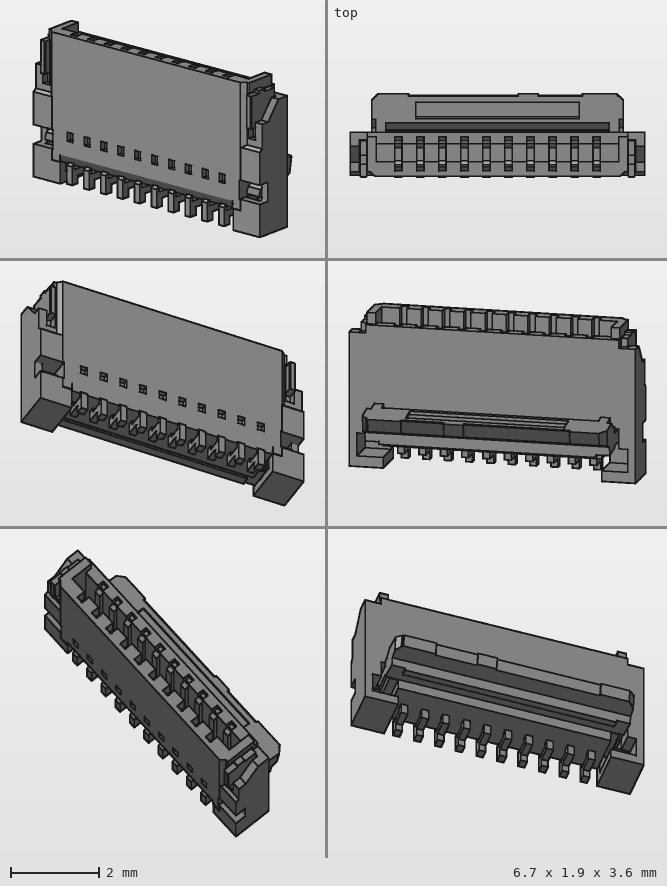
import cadquery as cq
import math


LENGTH = 6.7
HEIGHT = 3.6
DEPTH = 1.0
HALF_LENGTH = LENGTH / 2
PANEL_HALF = 2.79
PANEL_BOTTOM = 0.527
BODY_HALF = 2.963
FOOT_INNER = 2.556
BOTTOM_CHAMFER_HEIGHT = 0.18
BOTTOM_CHAMFER_DEPTH = 0.05
BACK_WALL_TOP = 3.337
END_WALL_BACK = 0.9
SHOULDER_Y = 0.108
WING_FRONT = 0.02

WING_TOP = 3.145
WING_TOP_FRONT = 0.684
WING_STEP_BACK = 0.314
WING_STEP_TOP = 2.69
SHOULDER_TOP = 2.1
SHOULDER_BOTTOM = 2.036

SLOT_HALF = 2.757
SLOT_FRONT = 0.33
SLOT_BACK = 0.733
SLOT_FLOOR = 1.3

CONTACT_COUNT = 10
PITCH = 0.5
CONTACT_WIDTH = 0.16
CHANNEL_WIDTH = 0.17
CHANNEL_FRONT = 0.125
CHANNEL_BACK = 0.895
CHANNEL_FLOOR = 1.0
WINDOW_BOTTOM = 1.08
WINDOW_TOP = 1.29
BEAM_TOP = 3.2
BEAM_BEVEL = 0.09
BEAM_SLOPE_DROP = 0.045
BACK_TIP_Y = 0.755
FRONT_BEAM_BACK = 0.35
BACK_BEAM_FRONT = 0.65
CONTACT_BASE_TOP = 1.1
TAIL_FRONT = -0.02
TAIL_BACK = 0.18
TAIL_TOP = 0.565
TAIL_BOTTOM = 0.055
TAIL_BEVEL = 0.06
TAIL_CREST_BACK = 0.07
NECK_BOTTOM = 0.25
NECK_TOP = 0.42
NECK_RISE_FRONT = 0.4
NECK_RISE_BACK = 0.55

POCKET_OUTER = 3.145
POCKET_INNER = 2.935
POCKET_BACK = 0.833
POCKET_FLOOR = 2.265
CLIP_OUTER = 3.12
CLIP_INNER = 2.97
CLIP_FRONT = -0.02
CLIP_BACK = 0.81
CLIP_TOP = BACK_WALL_TOP
CLIP_NOSE_BOTTOM = 2.55
CLIP_NOSE_SETBACK = 0.25
CLIP_NOSE_BEVEL = 0.025
CLIP_BUMP_FRONT = 0.27
CLIP_BUMP_BACK = 0.48
CLIP_BUMP_TOP = 3.4

NOTCH_BOTTOM = 0.79
NOTCH_TOP = 1.25
NOTCH_OUTER_BACK = 0.3
NOTCH_CORNER = 0.03
HINGE_OUTER = 3.17
HINGE_BACK = 0.56
HINGE_OPENING_OUTER = 2.955
FOOT_HOLLOW_FRONT = 0.22
FOOT_HOLLOW_BOTTOM = 0.25

LEVER_HALF = 2.862
LEVER_FRONT = DEPTH
LEVER_FRONT_TOP = 1.505
LEVER_FRONT_BOTTOM = 0.81
LEVER_TILT = math.tan(math.radians(9.5))
LEVER_BACK = 1.82
LEVER_CORNER = 0.155
LIP_FRONT = 1.28
LIP_BACK = 1.46
LIP_DROP = 0.06
LEVER_EDGE_HEIGHT = 0.32
LEVER_EDGE_BEVEL = 0.02
UNDERSIDE_BACK = (1.664, 1.01)
UNDERSIDE_STEP = (1.49, 0.943)
PAD_DEPTH = 0.06
PAD_BEVEL_DROP = 0.02
PAD_SPANS = [(-2.76, -2.02), (0.47, 0.93), (1.93, 2.73)]
GROOVE_HALF = 2.54
GROOVE_BACK = 1.215
GROOVE_BEND_Y = 1.06
GROOVE_BEND_DROP = 0.09
GROOVE_FLOOR_BACK = 1.03
GROOVE_FLOOR_Z = 1.3
RECESS_HALF = 1.855
RECESS_FRONT = 1.307
RECESS_FLOOR_FRONT = 1.35
RECESS_BACK = 1.685
RECESS_DEPTH = 0.06
SIDE_CUT_WIDTH = 0.1
SIDE_CUT_BACK = 1.3
SIDE_CUT_FLOOR_BACK = 1.1
SIDE_CUT_FLOOR_Z = 1.305
ARM_INNER = 2.8
ARM_BOTTOM = 0.86
ARM_TOP = 1.15
AXLE_BOTTOM = 0.85
AXLE_TOP = 1.14
AXLE_BACK = 0.52
AXLE_TOP_FRONT = 0.4
AXLE_FACET_Y = 0.27
AXLE_FACET_Z = 1.04
AXLE_NOSE_Y = 0.224
AXLE_NOSE_Z = 0.947
AXLE_UNDERSIDE_FRONT = 0.31

SIDES = (-1, 1)
CONTACT_XS = [(i - (CONTACT_COUNT - 1) / 2) * PITCH for i in range(CONTACT_COUNT)]


def box(x0, x1, y0, y1, z0, z1):
    """Box between two corners; the X limits may come in either order."""
    left, right = sorted((x0, x1))
    return cq.Workplane("XY").box(right - left, y1 - y0, z1 - z0, centered=False).translate((left, y0, z0))


def plate(x0, x1, outline):
    """Closed YZ outline extruded from x0 to x1, in either order."""
    left, right = sorted((x0, x1))
    return cq.Workplane("YZ").polyline(outline).close().extrude(right - left).translate((left, 0, 0))


def wing(side):
    outline = [
        (DEPTH, 0),
        (DEPTH, WING_TOP),
        (WING_TOP_FRONT, WING_TOP),
        (WING_STEP_BACK, WING_STEP_TOP),
        (SHOULDER_Y, WING_STEP_TOP),
        (SHOULDER_Y, SHOULDER_TOP),
        (WING_FRONT, SHOULDER_BOTTOM),
        (WING_FRONT, 0),
    ]
    return plate(side * HALF_LENGTH, side * FOOT_INNER, outline)


def middle_body():
    back_wall = box(-BODY_HALF, BODY_HALF, SHOULDER_Y, DEPTH, PANEL_BOTTOM, BACK_WALL_TOP)
    upper = box(-BODY_HALF, BODY_HALF, SHOULDER_Y, END_WALL_BACK, PANEL_BOTTOM, HEIGHT)
    lowered_back = box(-SLOT_HALF, SLOT_HALF, SLOT_BACK, DEPTH, BACK_WALL_TOP, HEIGHT)
    panel_root = PANEL_HALF + SHOULDER_Y
    panel = (
        cq.Workplane("XY")
        .polyline([(-panel_root, SHOULDER_Y), (-PANEL_HALF, 0), (PANEL_HALF, 0), (panel_root, SHOULDER_Y)])
        .close()
        .extrude(HEIGHT - SHOULDER_BOTTOM)
        .translate((0, 0, SHOULDER_BOTTOM))
    )
    panel = panel.union(box(-PANEL_HALF, PANEL_HALF, 0, SHOULDER_Y, PANEL_BOTTOM, SHOULDER_BOTTOM))
    bottom_chamfer = plate(-FOOT_INNER, FOOT_INNER, [
        (0, PANEL_BOTTOM),
        (0, PANEL_BOTTOM + BOTTOM_CHAMFER_HEIGHT),
        (BOTTOM_CHAMFER_DEPTH, PANEL_BOTTOM),
    ])
    return back_wall.union(upper).cut(lowered_back).union(panel).cut(bottom_chamfer)


def contact_channel(x):
    half = CHANNEL_WIDTH / 2
    channel = box(x - half, x + half, CHANNEL_FRONT, CHANNEL_BACK, CHANNEL_FLOOR, HEIGHT)
    window = box(x - half, x + half, 0, CHANNEL_FRONT, WINDOW_BOTTOM, WINDOW_TOP)
    return channel.union(window)


def contact(x):
    """Forked contact: two beams on a base, with a neck down to the solder tail in front."""
    beam_shoulder = BEAM_TOP - BEAM_BEVEL
    outline = [
        (TAIL_FRONT, TAIL_BOTTOM),
        (TAIL_FRONT, TAIL_TOP - TAIL_BEVEL),
        (TAIL_FRONT + TAIL_BEVEL, TAIL_TOP),
        (TAIL_CREST_BACK, TAIL_TOP),
        (TAIL_CREST_BACK, NECK_TOP),
        (NECK_RISE_FRONT, NECK_TOP),
        (NECK_RISE_FRONT, CHANNEL_FLOOR),
        (CHANNEL_FRONT, CHANNEL_FLOOR),
        (CHANNEL_FRONT, BEAM_TOP - BEAM_SLOPE_DROP),
        (CHANNEL_FRONT + BEAM_BEVEL, BEAM_TOP),
        (FRONT_BEAM_BACK - BEAM_BEVEL, BEAM_TOP),
        (FRONT_BEAM_BACK, beam_shoulder),
        (FRONT_BEAM_BACK, CONTACT_BASE_TOP),
        (BACK_BEAM_FRONT, CONTACT_BASE_TOP),
        (BACK_BEAM_FRONT, beam_shoulder),
        (BACK_TIP_Y, BEAM_TOP),
        (CHANNEL_BACK - BEAM_BEVEL, BEAM_TOP - BEAM_SLOPE_DROP),
        (CHANNEL_BACK, BEAM_TOP),
        (CHANNEL_BACK, CHANNEL_FLOOR),
        (NECK_RISE_BACK, CHANNEL_FLOOR),
        (NECK_RISE_BACK, NECK_BOTTOM),
        (TAIL_BACK, NECK_BOTTOM),
        (TAIL_BACK, TAIL_BOTTOM),
    ]
    return plate(x - CONTACT_WIDTH / 2, x + CONTACT_WIDTH / 2, outline)


def clip_pocket(side):
    return box(side * POCKET_OUTER, side * POCKET_INNER, 0, POCKET_BACK, POCKET_FLOOR, CLIP_TOP)


def clip(side):
    outline = [
        (CLIP_BACK, POCKET_FLOOR),
        (CLIP_BACK, CLIP_TOP),
        (CLIP_BUMP_BACK, CLIP_TOP),
        (CLIP_BUMP_BACK, CLIP_BUMP_TOP),
        (CLIP_BUMP_FRONT, CLIP_BUMP_TOP),
        (CLIP_BUMP_FRONT, CLIP_TOP),
        (CLIP_FRONT, CLIP_TOP),
        (CLIP_FRONT, CLIP_NOSE_BOTTOM),
        (CLIP_NOSE_SETBACK, CLIP_NOSE_BOTTOM),
        (CLIP_NOSE_SETBACK, POCKET_FLOOR),
    ]
    return plate(side * CLIP_OUTER, side * CLIP_INNER, outline).edges("|Z and <Y").chamfer(CLIP_NOSE_BEVEL)


def hinge_notch(side):
    outer = box(side * HALF_LENGTH, side * SLOT_HALF, 0, NOTCH_OUTER_BACK, NOTCH_BOTTOM, NOTCH_TOP)
    outer = outer.edges("|X and >Y").fillet(NOTCH_CORNER)
    socket = box(side * HINGE_OUTER, side * SLOT_HALF, 0, HINGE_BACK, NOTCH_BOTTOM, NOTCH_TOP)
    opening = box(side * HINGE_OPENING_OUTER, side * SLOT_HALF, 0, DEPTH, NOTCH_BOTTOM, NOTCH_TOP)
    hollow = box(
        side * HINGE_OUTER, side * FOOT_INNER, FOOT_HOLLOW_FRONT, DEPTH, FOOT_HOLLOW_BOTTOM, NOTCH_BOTTOM
    )
    return outer.union(socket).union(opening).union(hollow)


def make_housing():
    body = middle_body()
    for side in SIDES:
        body = body.union(wing(side))
    body = body.cut(box(-SLOT_HALF, SLOT_HALF, SLOT_FRONT, SLOT_BACK, SLOT_FLOOR, HEIGHT))
    for side in SIDES:
        body = body.cut(clip_pocket(side))
        body = body.union(clip(side))
        body = body.cut(hinge_notch(side))
    for x in CONTACT_XS:
        body = body.cut(contact_channel(x))
        body = body.union(contact(x))
    return body


def lever_top(y):
    """Height of the lever's sloping top face at a given Y."""
    return LEVER_FRONT_TOP - (y - LEVER_FRONT) * LEVER_TILT


def lever_bottom(y):
    """Height of the lever's sloping bottom face, which rakes down towards the lip."""
    return LEVER_FRONT_BOTTOM - (y - LEVER_FRONT) * LEVER_TILT


def lever_blade():
    """Blade outline: sloping top, stepped underside and a back edge square to the top face."""
    top_z = lever_top(LEVER_BACK)
    bevel_y = LEVER_BACK + LEVER_EDGE_BEVEL
    bottom_y = LEVER_BACK - LEVER_EDGE_HEIGHT * LEVER_TILT
    bottom_z = top_z - LEVER_EDGE_HEIGHT
    outline = [
        (LEVER_FRONT, LEVER_FRONT_BOTTOM),
        (LEVER_FRONT, LEVER_FRONT_TOP),
        (LEVER_BACK, top_z),
        (bevel_y, top_z - LEVER_EDGE_BEVEL),
        (bottom_y + LEVER_EDGE_BEVEL, bottom_z),
        UNDERSIDE_BACK,
        UNDERSIDE_STEP,
        (LIP_BACK, lever_bottom(LIP_BACK)),
    ]
    blade = plate(-LEVER_HALF, LEVER_HALF, outline)
    for x0, x1 in PAD_SPANS:
        blade = blade.union(plate(x0, x1, [
            (LEVER_BACK, top_z),
            (LEVER_BACK + PAD_DEPTH, top_z - PAD_BEVEL_DROP),
            (bottom_y + PAD_DEPTH, bottom_z),
            (bottom_y, bottom_z),
        ]))
    return blade


def lever_corner(side):
    """Prism, square to the top face, that bevels one back corner of the lever."""
    square_to_top = cq.Plane(
        origin=(0, LEVER_BACK + PAD_DEPTH, lever_top(LEVER_BACK) - PAD_BEVEL_DROP),
        xDir=(1, 0, 0),
        normal=(0, LEVER_TILT, 1),
    )
    end = side * LEVER_HALF
    inner = side * (LEVER_HALF - LEVER_CORNER)
    return (
        cq.Workplane(square_to_top)
        .polyline([(end, -LEVER_CORNER), (end, 0), (inner, 0)])
        .close()
        .extrude(LEVER_EDGE_HEIGHT * 2, both=True)
    )


def lever_lip():
    return plate(-GROOVE_HALF, GROOVE_HALF, [
        (LIP_FRONT, lever_bottom(LIP_FRONT)),
        (LIP_BACK, lever_bottom(LIP_BACK)),
        (LIP_BACK, lever_bottom(LIP_BACK) - LIP_DROP),
        (LIP_FRONT, lever_bottom(LIP_FRONT) - LIP_DROP),
    ])


def lever_groove():
    return plate(-GROOVE_HALF, GROOVE_HALF, [
        (LEVER_FRONT, GROOVE_FLOOR_Z),
        (GROOVE_FLOOR_BACK, GROOVE_FLOOR_Z),
        (GROOVE_BEND_Y, lever_top(GROOVE_BEND_Y) - GROOVE_BEND_DROP),
        (GROOVE_BACK, lever_top(GROOVE_BACK)),
        (LEVER_FRONT, lever_top(LEVER_FRONT)),
    ])


def lever_recess():
    return plate(-RECESS_HALF, RECESS_HALF, [
        (RECESS_FRONT, lever_top(RECESS_FRONT)),
        (RECESS_FLOOR_FRONT, lever_top(RECESS_FLOOR_FRONT) - RECESS_DEPTH),
        (RECESS_BACK, lever_top(RECESS_BACK) - RECESS_DEPTH),
        (RECESS_BACK, lever_top(RECESS_BACK)),
    ])


def lever_side_cut(side):
    return plate(side * LEVER_HALF, side * (LEVER_HALF - SIDE_CUT_WIDTH), [
        (LEVER_FRONT, SIDE_CUT_FLOOR_Z),
        (SIDE_CUT_FLOOR_BACK, SIDE_CUT_FLOOR_Z),
        (SIDE_CUT_BACK, lever_top(SIDE_CUT_BACK)),
        (LEVER_FRONT, lever_top(LEVER_FRONT)),
    ])


def hinge_arm(side):
    """Arm reaching through the housing's rear opening to the axle it carries."""
    arm = box(side * ARM_INNER, side * LEVER_HALF, AXLE_TOP_FRONT, LEVER_FRONT, ARM_BOTTOM, ARM_TOP)
    axle = (
        cq.Workplane("YZ")
        .moveTo(AXLE_BACK, AXLE_TOP)
        .lineTo(AXLE_TOP_FRONT, AXLE_TOP)
        .lineTo(AXLE_FACET_Y, AXLE_FACET_Z)
        .lineTo(AXLE_NOSE_Y, AXLE_NOSE_Z)
        .tangentArcPoint((AXLE_UNDERSIDE_FRONT, AXLE_BOTTOM), relative=False)
        .lineTo(AXLE_BACK, AXLE_BOTTOM)
        .close()
        .extrude(side * (HINGE_OUTER - ARM_INNER))
        .translate((side * ARM_INNER, 0, 0))
    )
    return arm.union(axle)


def make_lever():
    lever = lever_blade().union(lever_lip()).cut(lever_groove()).cut(lever_recess())
    for side in SIDES:
        lever = lever.cut(lever_corner(side)).cut(lever_side_cut(side)).union(hinge_arm(side))
    return lever


housing = make_housing()
lever = make_lever()
result = cq.Compound.makeCompound([*housing.vals(), *lever.vals()])